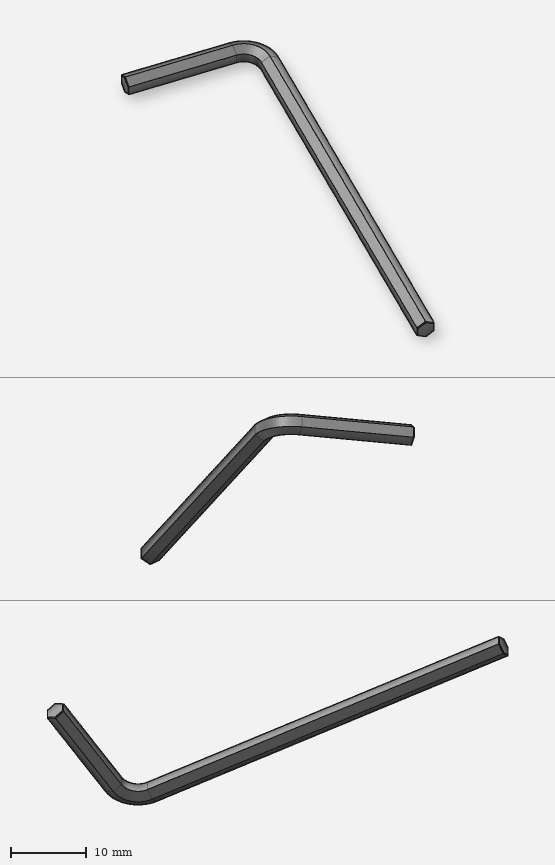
import cadquery as cq
import math

long_reach = 58.5
short_reach = 20.5
across_corners = 2.85
across_flats = across_corners * math.cos(math.radians(30))
bend_inner_radius = 2.5
end_chamfer = 0.1

half_flats = across_flats / 2
bend_radius = bend_inner_radius + half_flats
bend_end = half_flats + bend_radius
arc_middle = bend_end - bend_radius * math.cos(math.radians(45))

centreline = (
    cq.Workplane("XY")
    .moveTo(half_flats, -short_reach)
    .lineTo(half_flats, -bend_end)
    .threePointArc((arc_middle, -arc_middle), (bend_end, -half_flats))
    .lineTo(long_reach, -half_flats)
)

hexagon = (
    cq.Workplane("XZ", origin=(half_flats, -short_reach, 0))
    .transformed(rotate=(0, 0, 90))
    .polygon(6, across_corners)
)
bar = hexagon.sweep(centreline)

result = bar.faces(">X or <Y").edges().chamfer(end_chamfer)